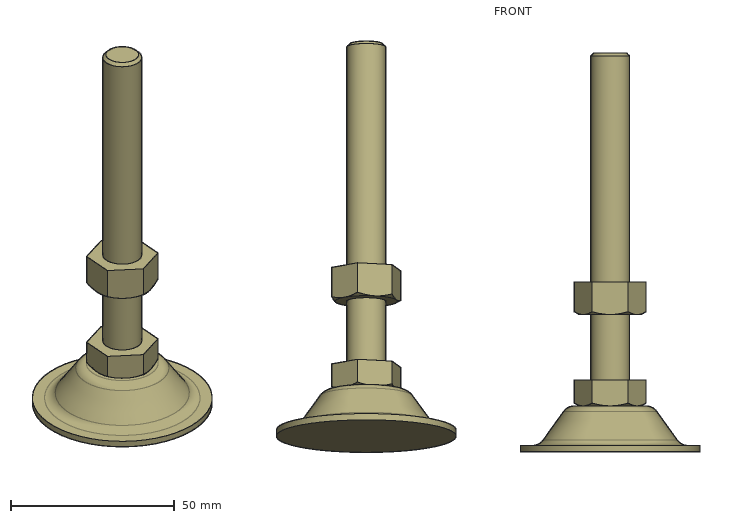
import cadquery as cq
import math

stud_top = 122.0
flange_thickness = 2.0
foot_height = 14.0
lower_nut_top = 22.0
upper_nut_bottom = 42.0
upper_nut_height = 10.0

flange_diameter = 55.0
hub_base_radius = 21.7
hub_top_radius = 13.0
hub_fillet = 4.0

stud_diameter = 12.0
stud_chamfer = 1.0

across_flats = 19.0
nut_chamfer_angle = 30.0


def make_foot():
    """Solid foot turned about Z, with both ends of its cone rounded."""
    flange_radius = flange_diameter / 2
    outline = [
        (0, 0),
        (flange_radius, 0),
        (flange_radius, flange_thickness),
        (hub_base_radius, flange_thickness),
        (hub_top_radius, foot_height),
        (0, foot_height),
    ]
    foot = cq.Workplane("XZ").polyline(outline).close().revolve(360, (0, 0, 0), (0, 1, 0))
    return foot.faces("%CONE").edges("%CIRCLE").fillet(hub_fillet)


def make_stud():
    """Plain round stud that stands on the foot and has a chamfered top end."""
    length = stud_top - foot_height
    stud = cq.Workplane("XY").workplane(offset=foot_height).circle(stud_diameter / 2).extrude(length)
    return stud.faces(">Z").chamfer(stud_chamfer)


def make_nut(bottom, height):
    """Hexagon nut with corners along X, its lower corners cut back by a cone."""
    corner_radius = across_flats / math.sqrt(3)
    flat_radius = across_flats / 2
    chamfer_rise = (corner_radius - flat_radius) * math.tan(math.radians(nut_chamfer_angle))

    hexagon = cq.Workplane("XY").polygon(6, 2 * corner_radius).extrude(height)
    envelope_outline = [
        (0, 0),
        (flat_radius, 0),
        (corner_radius, chamfer_rise),
        (corner_radius, height),
        (0, height),
    ]
    envelope = cq.Workplane("XZ").polyline(envelope_outline).close().revolve(360, (0, 0, 0), (0, 1, 0))
    bore = cq.Workplane("XY").circle(stud_diameter / 2).extrude(height)
    return hexagon.intersect(envelope).cut(bore).translate((0, 0, bottom))


foot = make_foot()
stud = make_stud()

nut_places = [
    (foot_height, lower_nut_top - foot_height),
    (upper_nut_bottom, upper_nut_height),
]
nuts = [make_nut(bottom, height).val() for bottom, height in nut_places]

result = cq.Compound.makeCompound([foot.val(), stud.val(), *nuts])